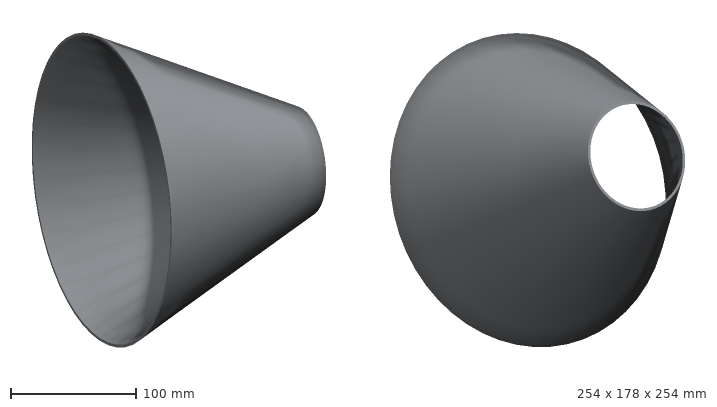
import cadquery as cq
import math

large_diameter = 254.0
small_diameter = 89.0
length = 178.0
wall_thickness = 2.0

large_radius = large_diameter / 2
small_radius = small_diameter / 2
half_angle = math.atan2(large_radius - small_radius, length)
radial_wall = wall_thickness / math.cos(half_angle)

wall_section = (
    cq.Workplane("XY")
    .moveTo(large_radius - radial_wall, 0)
    .lineTo(large_radius, 0)
    .lineTo(small_radius, length)
    .lineTo(small_radius - radial_wall, length)
    .close()
)

result = wall_section.revolve(360, (0, 0, 0), (0, 1, 0))